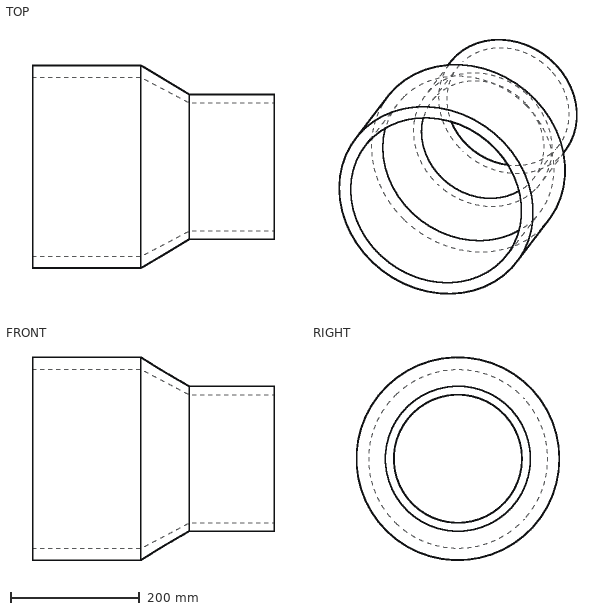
import cadquery as cq

total_length = 375.0
wide_length = 168.0
cone_length = 75.0
wide_outer_diameter = 315.0
wide_bore_diameter = 277.5
narrow_outer_diameter = 225.0
narrow_bore_diameter = 198.5

cone_end = wide_length + cone_length


def reducer_solid(wide_diameter, narrow_diameter):
    """Solid of revolution: wide cylinder, cone, narrow cylinder."""
    wide_radius = wide_diameter / 2
    narrow_radius = narrow_diameter / 2
    profile = (
        cq.Workplane("XY")
        .moveTo(0, 0)
        .lineTo(0, wide_radius)
        .lineTo(wide_length, wide_radius)
        .lineTo(cone_end, narrow_radius)
        .lineTo(total_length, narrow_radius)
        .lineTo(total_length, 0)
        .close()
    )
    return profile.revolve(360, (0, 0, 0), (1, 0, 0))


outer_body = reducer_solid(wide_outer_diameter, narrow_outer_diameter)
bore = reducer_solid(wide_bore_diameter, narrow_bore_diameter)

result = outer_body.cut(bore)